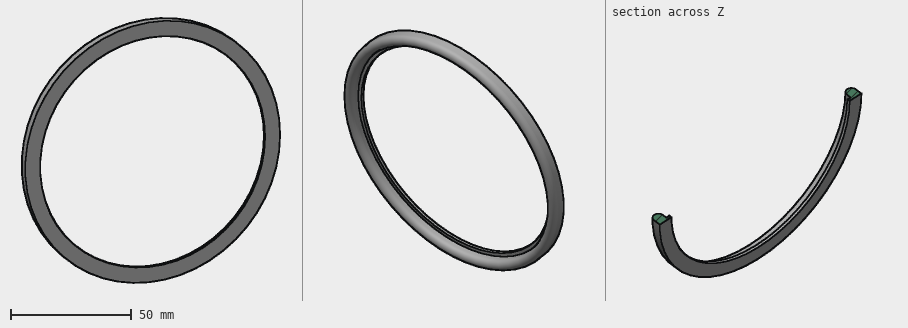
import cadquery as cq

outer_diameter = 114.0
inner_diameter = 104.0
lip_diameter = 100.5
ring_depth = 6.0
lip_thickness = 1.5

outer_radius = outer_diameter / 2
inner_radius = inner_diameter / 2
lip_radius = lip_diameter / 2
nose_radius = (outer_radius - inner_radius) / 2
nose_center_radius = inner_radius + nose_radius
lip_front = ring_depth - lip_thickness

section = (
    cq.Workplane("XY")
    .moveTo(nose_radius, inner_radius)
    .threePointArc((0, nose_center_radius), (nose_radius, outer_radius))
    .lineTo(ring_depth, outer_radius)
    .lineTo(ring_depth, lip_radius)
    .lineTo(lip_front, lip_radius)
    .lineTo(lip_front, inner_radius)
    .close()
)

result = section.revolve(360, (0, 0, 0), (1, 0, 0))